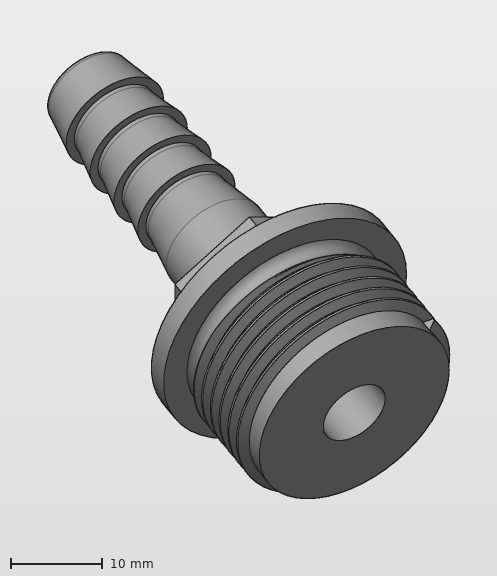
import cadquery as cq
import math

total_length = 56.2

bore_radius = 3.95
tail_radius = 6.2
root_radius = 5.15
first_barb_end = 6.0
barb_pitch = 5.0
barb_count = 4
barb_neck_length = 0.5
last_cone_end = 27.0

nut_start = 34.2
nut_flats = 19.0
flange_start = 39.1
flange_end = 41.7
flange_radius = 15.45

spigot_radius = 12.1
relief_end = 44.25
relief_floor_radius = 11.75
relief_edge_radius = 12.5
thread_radius = 13.2
thread_base_width = 1.6
thread_crest_width = 0.3
thread_embed = 0.15
first_crest_at_top = 45.65
last_crest_at_top = 52.95
pitches_between_crests = 4
thread_pitch = (last_crest_at_top - first_crest_at_top) / pitches_between_crests
turns_before_first_crest = 2
thread_turns = 6.84


def hose_tail():
    """Barbed tail with a rounded tip, turned about X."""
    wall_middle = (root_radius + bore_radius) / 2
    tip_length = root_radius - wall_middle
    profile = (
        cq.Workplane("XY")
        .moveTo(tip_length, 0)
        .lineTo(tip_length, bore_radius)
        .threePointArc((0, wall_middle), (tip_length, root_radius))
    )
    for barb in range(barb_count):
        barb_end = first_barb_end + barb * barb_pitch
        profile = (
            profile.lineTo(barb_end, tail_radius)
            .lineTo(barb_end, root_radius)
            .lineTo(barb_end + barb_neck_length, root_radius)
        )
    profile = profile.lineTo(last_cone_end, tail_radius).lineTo(nut_start, tail_radius).lineTo(nut_start, 0)
    return profile.close().revolve(360, (0, 0, 0), (1, 0, 0))


def nut():
    """Hexagon with two corners on the Z axis."""
    across_corners = nut_flats / math.cos(math.pi / 6)
    return (
        cq.Workplane("YZ", origin=(nut_start, 0, 0))
        .transformed(rotate=(0, 0, 90))
        .polygon(6, across_corners)
        .extrude(flange_start - nut_start)
    )


def flange_and_spigot():
    """Flange, concave thread relief and plain spigot, turned about X."""
    relief_middle = (flange_end + relief_end) / 2
    return (
        cq.Workplane("XY")
        .moveTo(flange_start, 0)
        .lineTo(flange_start, flange_radius)
        .lineTo(flange_end, flange_radius)
        .lineTo(flange_end, relief_edge_radius)
        .threePointArc((relief_middle, relief_floor_radius), (relief_end, relief_edge_radius))
        .lineTo(relief_end, spigot_radius)
        .lineTo(total_length, spigot_radius)
        .lineTo(total_length, 0)
        .close()
        .revolve(360, (0, 0, 0), (1, 0, 0))
    )


def thread():
    """Right-handed ridge around the spigot, trimmed square where the relief ends."""
    base_radius = spigot_radius - thread_embed
    helix = cq.Wire.makeHelix(thread_pitch, thread_turns * thread_pitch, base_radius)
    ridge = (
        cq.Workplane("XZ")
        .moveTo(base_radius, -thread_base_width / 2)
        .lineTo(thread_radius, -thread_crest_width / 2)
        .lineTo(thread_radius, thread_crest_width / 2)
        .lineTo(base_radius, thread_base_width / 2)
        .close()
        .sweep(cq.Workplane(obj=helix), isFrenet=True)
    )
    ridge = ridge.rotate((0, 0, 0), (0, 1, 0), 90).rotate((0, 0, 0), (1, 0, 0), 180)
    ridge = ridge.translate((first_crest_at_top - turns_before_first_crest * thread_pitch, 0, 0))
    keep_length = total_length - relief_end
    keep = cq.Workplane("YZ", origin=(relief_end, 0, 0)).circle(flange_radius).extrude(keep_length)
    return ridge.intersect(keep)


bore = cq.Workplane("YZ").circle(bore_radius).extrude(total_length)
result = hose_tail().union(nut()).union(flange_and_spigot()).cut(bore).union(thread())